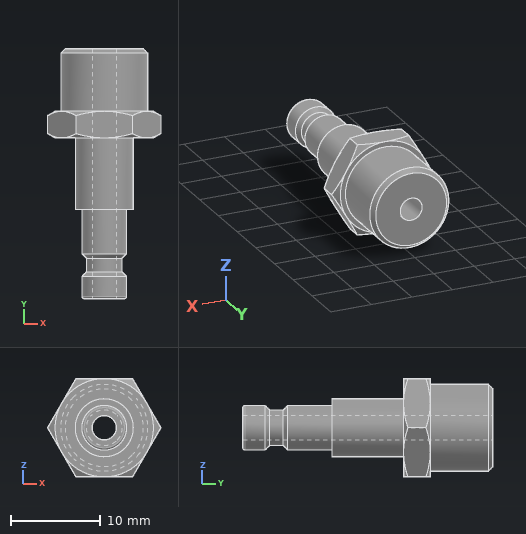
import cadquery as cq
import math

total_length = 28.0
thread_length = 7.0
hex_length = 3.0
body_length = 8.0
tip_length = 2.52

thread_diameter = 9.75
hex_across_flats = 11.0
body_diameter = 6.5
tail_diameter = 5.0
groove_diameter = 4.0
bore_diameter = 2.7

thread_chamfer = 0.5
tip_fillet = 0.25
groove_width = 2.52
hex_chamfer_angle = 30.0

thread_start = total_length - thread_length
hex_start = thread_start - hex_length
body_start = hex_start - body_length
groove_end = tip_length + groove_width


def cylinder(diameter, start, end):
    """Solid cylinder along Y between two stations."""
    return cq.Workplane("XZ", origin=(0, start, 0)).circle(diameter / 2).extrude(start - end)


def revolve_about_y(points):
    """Turn a closed (radius, station) outline about the Y axis."""
    return cq.Workplane("XY").polyline(points).close().revolve(360, (0, 0), (0, 1))


def make_tail():
    """Tail with its rounded tip and sloped-sided locking groove."""
    outer = tail_diameter / 2
    inner = groove_diameter / 2
    slope = outer - inner
    tail = revolve_about_y([
        (0, 0),
        (outer, 0),
        (outer, tip_length),
        (inner, tip_length + slope),
        (inner, groove_end - slope),
        (outer, groove_end),
        (outer, body_start),
        (0, body_start),
    ])
    return tail.faces("<Y").edges().fillet(tip_fillet)


def make_hex():
    """Hexagon with corners on X, its corners coned off at both faces."""
    across_corners = hex_across_flats / math.cos(math.pi / 6)
    prism = (
        cq.Workplane("XZ", origin=(0, hex_start, 0))
        .polygon(6, across_corners)
        .extrude(-hex_length)
    )
    face_radius = hex_across_flats / 2
    corner_radius = across_corners / 2
    drop = (corner_radius - face_radius) * math.tan(math.radians(hex_chamfer_angle))
    envelope = revolve_about_y([
        (0, hex_start),
        (face_radius, hex_start),
        (corner_radius, hex_start + drop),
        (corner_radius, thread_start - drop),
        (face_radius, thread_start),
        (0, thread_start),
    ])
    return prism.intersect(envelope)


def make_thread_end():
    """Plain connection cylinder, chamfered at its free end."""
    return cylinder(thread_diameter, thread_start, total_length).faces(">Y").chamfer(thread_chamfer)


body = cylinder(body_diameter, body_start, hex_start)
bore = cylinder(bore_diameter, 0, total_length)

result = make_tail().union(body).union(make_hex()).union(make_thread_end()).cut(bore)